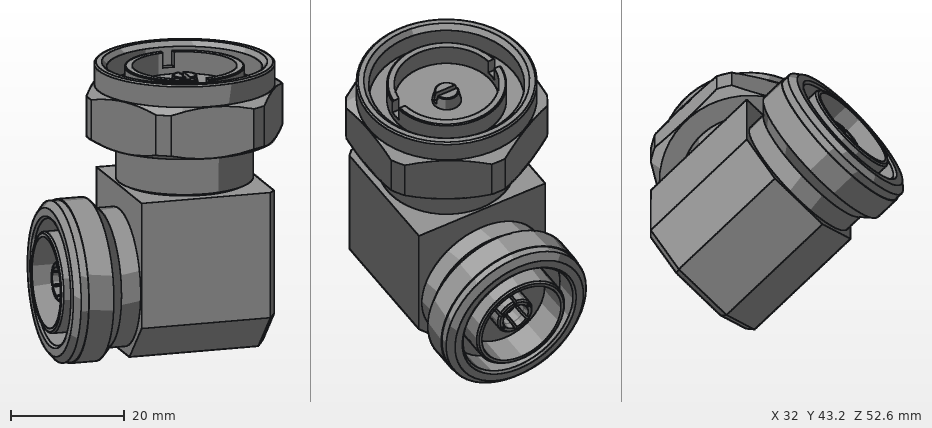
import cadquery as cq
import math


overlap = 0.5

block_width = 25.9
block_front = -12.1
block_back = 12.75
block_top = 16.65
block_bottom = -13.15
side_bevel = 7.0
back_chamfer = 1.05

relief_radius = 11.05
neck_radius = 12.1
neck_bottom = 17.15

nut_top = 38.1
hex_flats = 32.0
hex_corner_radius = 17.75
hex_bottom = 24.6
hex_top = 34.05
hex_chamfer_angle = 30
collar_radius = 15.9
collar_chamfer = 0.3
nut_bore_radius = 13.7
nut_mouth_radius = 14.6
nut_mouth_depth = 0.9
nut_floor = 33.45

sleeve_top = 37.4
sleeve_outer_radius = 10.5
sleeve_inner_radius = 9.2
sleeve_slot_width = 2.1
sleeve_slot_depth = 2.75
sleeve_chamfer = 0.2
pin_radius = 2.6
pin_tip_radius = 2.1
pin_tip_chamfer = 0.15
pin_top = 35.75
pin_slot_width = 0.85
pin_slot_depth = 1.7

socket_neck_radius = 12.35
socket_neck_end = 15.65
flange_start = 17.75
flange_radius = 14.5
flange_step = 22.3
flange_front_radius = 14.35
flange_chamfer_start = 23.75
flange_end = 24.8
flange_face_radius = 13.15
flange_mouth_radius = 11.7
flange_bore_radius = 11.25
flange_mouth_depth = 0.4
socket_floor = 19.95
barrel_end = 25.5
barrel_radius = 9.0
barrel_bore_radius = 8.1
barrel_chamfer = 0.3
contact_end = 23.6
contact_radius = 3.5
contact_bore_radius = 2.4
contact_mouth_radius = 2.6
contact_mouth_depth = 1.3
contact_chamfer = 0.3
contact_cut_count = 3
contact_slot_width = 0.45
contact_slot_depth = contact_end - socket_floor


def revolve_vertical(profile):
    """Turn (radius, height) points about the Z axis."""
    return cq.Workplane("XZ").polyline(profile).close().revolve(360, (0, 0, 0), (0, 1, 0))


def revolve_socket(profile):
    """Turn (radius, distance toward -Y) points about the Y axis."""
    points = [(radius, -distance) for radius, distance in profile]
    return cq.Workplane("XY").polyline(points).close().revolve(360, (0, 0, 0), (0, 1, 0))


def cross_slot(part_radius, width, depth, top):
    """Cutter for a slot along X, across a round part on the Z axis, opening at height top."""
    length = 2 * part_radius + overlap
    return (
        cq.Workplane("XY")
        .box(length, width, depth, centered=(True, True, False))
        .translate((0, 0, top - depth))
    )


def make_block():
    depth = block_back - block_front
    block = (
        cq.Workplane("XY")
        .box(block_width, depth, block_top - block_bottom, centered=(True, False, False))
        .translate((0, block_front, block_bottom))
    )
    block = block.faces("<Z").edges("|Y").chamfer(side_bevel)
    back_edges = block.faces(">Y").edges("not >Z")
    return back_edges.chamfer(back_chamfer)


def make_neck():
    return revolve_vertical([
        (0, block_top - overlap),
        (relief_radius, block_top - overlap),
        (relief_radius, neck_bottom),
        (neck_radius, neck_bottom),
        (neck_radius, hex_bottom + overlap),
        (0, hex_bottom + overlap),
    ])


def make_nut():
    chamfer_height = (hex_corner_radius - collar_radius) * math.tan(math.radians(hex_chamfer_angle))
    hexagon = (
        cq.Workplane("XY")
        .workplane(offset=hex_bottom)
        .polygon(6, hex_flats, circumscribed=True)
        .extrude(nut_top - hex_bottom)
    )
    envelope = revolve_vertical([
        (0, hex_bottom),
        (collar_radius, hex_bottom),
        (hex_corner_radius, hex_bottom + chamfer_height),
        (hex_corner_radius, hex_top - chamfer_height),
        (collar_radius, hex_top),
        (collar_radius, nut_top - collar_chamfer),
        (collar_radius - collar_chamfer, nut_top),
        (0, nut_top),
    ])
    bore = revolve_vertical([
        (0, nut_floor),
        (nut_bore_radius, nut_floor),
        (nut_bore_radius, nut_top - nut_mouth_depth),
        (nut_mouth_radius, nut_top),
        (0, nut_top),
    ])
    return hexagon.intersect(envelope).cut(bore)


def make_sleeve():
    sleeve = (
        cq.Workplane("XY")
        .workplane(offset=nut_floor - overlap)
        .circle(sleeve_outer_radius)
        .extrude(sleeve_top - nut_floor + overlap)
        .faces(">Z")
        .chamfer(sleeve_chamfer)
        .faces(">Z")
        .workplane()
        .circle(sleeve_inner_radius)
        .cutThruAll()
    )
    return sleeve.cut(cross_slot(sleeve_outer_radius, sleeve_slot_width, sleeve_slot_depth, sleeve_top))


def make_pin():
    pin = revolve_vertical([
        (0, nut_floor - overlap),
        (pin_radius, nut_floor - overlap),
        (pin_radius, nut_floor),
        (pin_tip_radius, pin_top - pin_tip_chamfer),
        (pin_tip_radius - pin_tip_chamfer, pin_top),
        (0, pin_top),
    ])
    return pin.cut(cross_slot(pin_radius, pin_slot_width, pin_slot_depth, pin_top))


def make_socket():
    return revolve_socket([
        (0, -block_front - overlap),
        (socket_neck_radius, -block_front - overlap),
        (socket_neck_radius, socket_neck_end),
        (flange_radius, flange_start),
        (flange_radius, flange_step),
        (flange_front_radius, flange_step),
        (flange_front_radius, flange_chamfer_start),
        (flange_face_radius, flange_end),
        (flange_mouth_radius, flange_end),
        (flange_bore_radius, flange_end - flange_mouth_depth),
        (flange_bore_radius, socket_floor),
        (barrel_radius, socket_floor),
        (barrel_radius, barrel_end - barrel_chamfer),
        (barrel_radius - barrel_chamfer, barrel_end),
        (barrel_bore_radius, barrel_end),
        (barrel_bore_radius, socket_floor),
        (0, socket_floor),
    ])


def make_contact():
    contact = revolve_socket([
        (contact_bore_radius, socket_floor - overlap),
        (contact_radius, socket_floor - overlap),
        (contact_radius, contact_end - contact_chamfer),
        (contact_radius - contact_chamfer, contact_end),
        (contact_mouth_radius, contact_end),
        (contact_bore_radius, contact_end - contact_mouth_depth),
    ])
    slot_length = 2 * contact_radius + overlap
    slot = (
        cq.Workplane("XY")
        .box(contact_slot_width, contact_slot_depth, slot_length, centered=(True, False, True))
        .translate((0, -contact_end, 0))
    )
    for index in range(contact_cut_count):
        angle = index * 180 / contact_cut_count
        contact = contact.cut(slot.rotate((0, 0, 0), (0, 1, 0), angle))
    return contact


result = make_block()
for piece in (make_neck(), make_nut(), make_sleeve(), make_pin(), make_socket(), make_contact()):
    result = result.union(piece)